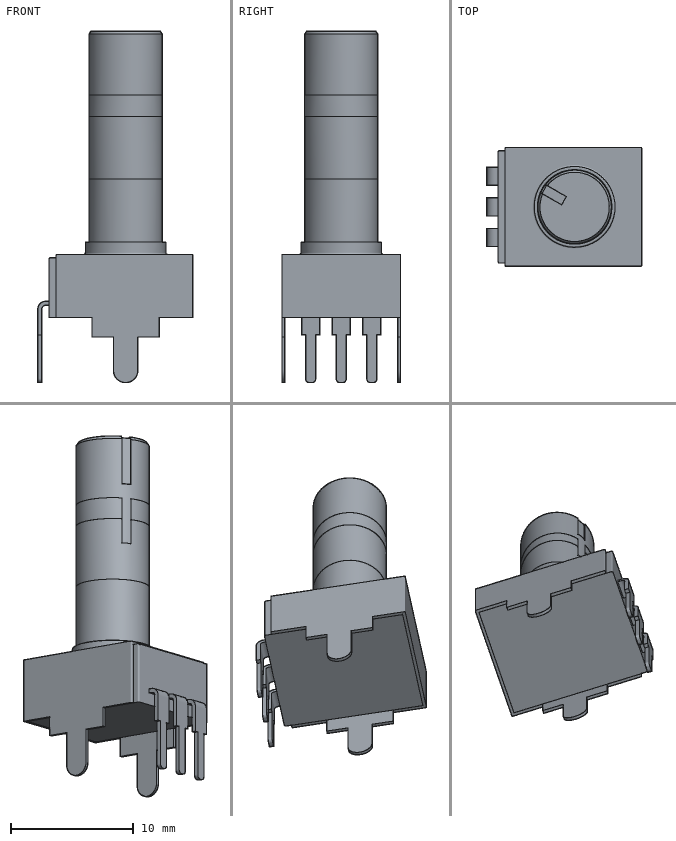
import cadquery as cq
import math


SHAFT_D = 6.0
SHAFT_TOP_Z = 23.4
TIP_CHAMFER_HEIGHT = 0.25
TIP_CHAMFER_WIDTH = 0.17
CAP_LENGTH = 5.22
RING_LENGTH = 1.75
SLEEVE_LENGTH = 5.08

POINTER_ANGLE = 150
POINTER_WIDTH = 0.77
POINTER_INNER_R = 1.0
POINTER_DEPTH = 0.15
POINTER_LENGTH = 4.02
KEY_LENGTH = 3.75
KEY_DEPTH = 0.57

SHEET = 0.25
COVER_X_MIN = -5.68
COVER_X_LENGTH = 11.15
COVER_Y_WIDTH = 9.7
COVER_HEIGHT = 5.17
COVER_FILLET = 0.1
COLLAR_D = 6.6
COLLAR_HEIGHT = 1.0
COLLAR_FOOT_FILLET = 0.11
COLLAR_RIM_FILLET = 0.1

SHOULDER_WIDTH = 5.5
SHOULDER_DROP = 1.58
LEG_WIDTH = 2.0
LEG_DROP = 5.3

BLOCK_OVERHANG = 0.57
BLOCK_FILLET = 0.15

TERMINAL_COUNT = 3
TERMINAL_PITCH = 2.5
TERMINAL_REACH = 1.5
TERMINAL_THICKNESS = 0.35
TERMINAL_BEND_R = 0.65
TERMINAL_TOP_Z = 1.35
TERMINAL_WIDTH = 1.5
TERMINAL_SHOULDER_Z = -1.4
TERMINAL_PIN_WIDTH = 0.83
TERMINAL_TIP_FILLET = 0.32

SHAFT_R = SHAFT_D / 2
COLLAR_BORE_D = COLLAR_D - 2 * SHEET
COVER_X_MAX = COVER_X_MIN + COVER_X_LENGTH
BLOCK_TOP_Z = COVER_HEIGHT - SHEET
BLOCK_X_MIN = COVER_X_MIN - BLOCK_OVERHANG
BLOCK_WIDTH = COVER_Y_WIDTH - 2 * SHEET
TERMINAL_X_MIN = COVER_X_MIN - TERMINAL_REACH
CAP_BOTTOM_Z = SHAFT_TOP_Z - CAP_LENGTH
RING_BOTTOM_Z = CAP_BOTTOM_Z - RING_LENGTH
SLEEVE_BOTTOM_Z = RING_BOTTOM_Z - SLEEVE_LENGTH


def box(x_min, x_max, width, z_min, z_max):
    """Box centred on Y."""
    return (
        cq.Workplane("XY", origin=((x_min + x_max) / 2, 0, z_min))
        .box(x_max - x_min, width, z_max - z_min, centered=(True, True, False))
    )


def shaft_section(z_min, z_max):
    """Plain cylinder of the shaft between two heights."""
    return cq.Workplane("XY", origin=(0, 0, z_min)).circle(SHAFT_R).extrude(z_max - z_min)


def radial_bar(r_min, z_min, z_max):
    """Bar along the pointer direction that runs from r_min past the shaft surface."""
    bar = box(r_min, SHAFT_D, POINTER_WIDTH, z_min, z_max)
    return bar.rotate((0, 0, 0), (0, 0, 1), POINTER_ANGLE)


def key_bar():
    """Bar that shapes the key of the cap and the notches that take it."""
    return radial_bar(SHAFT_R - KEY_DEPTH, CAP_BOTTOM_Z - KEY_LENGTH, CAP_BOTTOM_Z)


def make_cap():
    """Chamfered shaft end with the pointer groove on top and side, and a key hanging below."""
    body = shaft_section(CAP_BOTTOM_Z, SHAFT_TOP_Z).faces(">Z").chamfer(TIP_CHAMFER_HEIGHT, TIP_CHAMFER_WIDTH)
    top_groove = radial_bar(POINTER_INNER_R, SHAFT_TOP_Z - POINTER_DEPTH, SHAFT_TOP_Z)
    side_groove = radial_bar(SHAFT_R - POINTER_DEPTH, SHAFT_TOP_Z - POINTER_LENGTH, SHAFT_TOP_Z)
    key = key_bar().intersect(shaft_section(SLEEVE_BOTTOM_Z, CAP_BOTTOM_Z))
    return body.cut(top_groove).cut(side_groove).union(key)


def make_ring():
    """Short notched section below the cap."""
    return shaft_section(RING_BOTTOM_Z, CAP_BOTTOM_Z).cut(key_bar())


def make_sleeve():
    """Notched section between the ring and the lower shaft."""
    return shaft_section(SLEEVE_BOTTOM_Z, RING_BOTTOM_Z).cut(key_bar())


def make_lower_shaft():
    """Plain section that passes through the collar and stands on the block."""
    return shaft_section(BLOCK_TOP_Z, SLEEVE_BOTTOM_Z)


def mounting_leg(outer_y):
    """Stepped leg with a rounded tip, one sheet thick, inward from the plane at outer_y."""
    tip_r = LEG_WIDTH / 2
    profile = (
        cq.Workplane("XZ", origin=(0, outer_y, 0))
        .moveTo(-SHOULDER_WIDTH / 2, SHEET)
        .lineTo(-SHOULDER_WIDTH / 2, -SHOULDER_DROP)
        .lineTo(-tip_r, -SHOULDER_DROP)
        .lineTo(-tip_r, tip_r - LEG_DROP)
        .threePointArc((0, -LEG_DROP), (tip_r, tip_r - LEG_DROP))
        .lineTo(tip_r, -SHOULDER_DROP)
        .lineTo(SHOULDER_WIDTH / 2, -SHOULDER_DROP)
        .lineTo(SHOULDER_WIDTH / 2, SHEET)
        .close()
    )
    return profile.extrude(math.copysign(SHEET, outer_y))


def make_cover():
    """Sheet box open below and at -X, with a drawn collar on top and a leg on each Y side."""
    shell = box(COVER_X_MIN, COVER_X_MAX, COVER_Y_WIDTH, 0, COVER_HEIGHT)
    shell = shell.edges("|Z or >Z").fillet(COVER_FILLET)
    collar = cq.Workplane("XY", origin=(0, 0, COVER_HEIGHT)).circle(COLLAR_D / 2).extrude(COLLAR_HEIGHT)
    collar = collar.faces(">Z").edges().fillet(COLLAR_RIM_FILLET)
    shell = shell.union(collar)
    largest_circle = cq.selectors.RadiusNthSelector(-1)
    shell = shell.edges("%CIRCLE").edges(largest_circle).fillet(COLLAR_FOOT_FILLET)
    shell = shell.cut(box(COVER_X_MIN, COVER_X_MAX - SHEET, BLOCK_WIDTH, 0, BLOCK_TOP_Z))
    shell = shell.faces(">Z").workplane(origin=(0, 0, 0)).hole(COLLAR_BORE_D, COLLAR_HEIGHT + SHEET)
    for side in (-1, 1):
        shell = shell.union(mounting_leg(side * COVER_Y_WIDTH / 2))
    return shell


def make_block():
    """Insulator that fills the cover and stands out of its open -X side."""
    body = box(BLOCK_X_MIN, COVER_X_MAX - SHEET, BLOCK_WIDTH, 0, BLOCK_TOP_Z)
    return body.faces("<X").edges("not <Z").fillet(BLOCK_FILLET)


def make_terminal(y):
    """Bent strip with a narrowed pin end."""
    inner_r = TERMINAL_BEND_R - TERMINAL_THICKNESS
    bend_x = TERMINAL_X_MIN + TERMINAL_BEND_R
    bend_z = TERMINAL_TOP_Z - TERMINAL_BEND_R
    diagonal = math.sqrt(0.5)
    strip = (
        cq.Workplane("XZ", origin=(0, y, 0))
        .moveTo(BLOCK_X_MIN, TERMINAL_TOP_Z)
        .lineTo(bend_x, TERMINAL_TOP_Z)
        .threePointArc(
            (bend_x - TERMINAL_BEND_R * diagonal, bend_z + TERMINAL_BEND_R * diagonal),
            (TERMINAL_X_MIN, bend_z),
        )
        .lineTo(TERMINAL_X_MIN, -LEG_DROP)
        .lineTo(TERMINAL_X_MIN + TERMINAL_THICKNESS, -LEG_DROP)
        .lineTo(TERMINAL_X_MIN + TERMINAL_THICKNESS, bend_z)
        .threePointArc(
            (bend_x - inner_r * diagonal, bend_z + inner_r * diagonal),
            (bend_x, bend_z + inner_r),
        )
        .lineTo(BLOCK_X_MIN, bend_z + inner_r)
        .close()
        .extrude(TERMINAL_WIDTH / 2, both=True)
    )
    notch_width = (TERMINAL_WIDTH - TERMINAL_PIN_WIDTH) / 2
    for side in (-1, 1):
        notch_y = y + side * (TERMINAL_PIN_WIDTH + notch_width) / 2
        notch = box(TERMINAL_X_MIN, BLOCK_X_MIN, notch_width, -LEG_DROP, TERMINAL_SHOULDER_Z)
        strip = strip.cut(notch.translate((0, notch_y, 0)))
    return strip.faces("<Z").edges("|X").fillet(TERMINAL_TIP_FILLET)


cap = make_cap()
ring = make_ring()
sleeve = make_sleeve()
lower_shaft = make_lower_shaft()
cover = make_cover()
block = make_block()
first_terminal_y = -TERMINAL_PITCH * (TERMINAL_COUNT - 1) / 2
terminals = [make_terminal(first_terminal_y + index * TERMINAL_PITCH) for index in range(TERMINAL_COUNT)]

result = cq.Compound.makeCompound(
    [
        cap.val(),
        ring.val(),
        sleeve.val(),
        lower_shaft.val(),
        cover.val(),
        block.val(),
        *[terminal.val() for terminal in terminals],
    ]
)